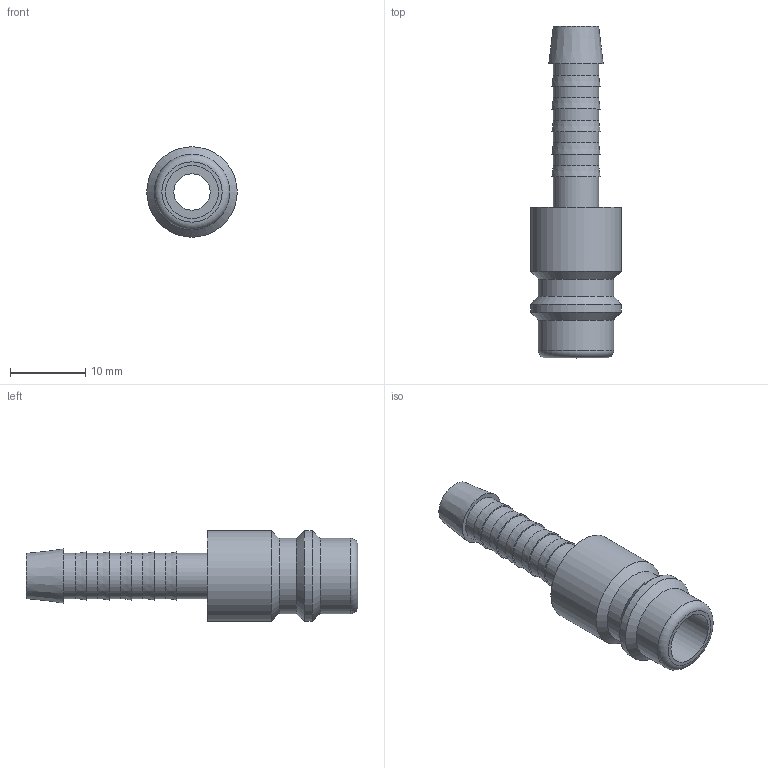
import cadquery as cq


total_length = 44.0
body_end = 20.0
nose_length = 5.0
cone_length = 1.05
collar_land = 1.05
groove_width = 2.3

body_radius = 6.0
nose_radius = 5.0
stem_radius = 3.0
nose_fillet = 1.0

end_barb_length = 5.0
end_barb_radius = 3.6
ridge_count = 5
ridge_pitch = 3.0
ridge_length = 1.5
ridge_radius = 3.2
first_ridge_base = total_length - end_barb_length - ridge_pitch

bore_radius = 2.4
socket_radius = 3.5
socket_depth = 17.0


def revolve_about_y(profile):
    """Turn a closed radius / Y profile one full turn about the Y axis."""
    return profile.close().revolve(360, (0, 0, 0), (0, 1, 0))


def cylinder(radius, start, length):
    """Cylinder along Y from the given start position."""
    return revolve_about_y(
        cq.Workplane("XY")
        .moveTo(0, start)
        .lineTo(radius, start)
        .lineTo(radius, start + length)
        .lineTo(0, start + length)
    )


def barb(base, length, base_radius):
    """Cone with a sharp shoulder at its base, tapering to the stem radius toward +Y."""
    return revolve_about_y(
        cq.Workplane("XY")
        .moveTo(0, base)
        .lineTo(base_radius, base)
        .lineTo(stem_radius, base + length)
        .lineTo(0, base + length)
    )


def plug_body():
    """Plug nose, locking collar, groove and main cylinder."""
    collar_start = nose_length + cone_length
    collar_end = collar_start + collar_land
    groove_start = collar_end + cone_length
    groove_end = groove_start + groove_width
    body = revolve_about_y(
        cq.Workplane("XY")
        .moveTo(0, 0)
        .lineTo(nose_radius, 0)
        .lineTo(nose_radius, nose_length)
        .lineTo(body_radius, collar_start)
        .lineTo(body_radius, collar_end)
        .lineTo(nose_radius, groove_start)
        .lineTo(nose_radius, groove_end)
        .lineTo(body_radius, groove_end + cone_length)
        .lineTo(body_radius, body_end)
        .lineTo(0, body_end)
    )
    return body.faces("<Y").edges().fillet(nose_fillet)


def hose_stem():
    """Stem with evenly spaced ridges and a larger barb at the hose end."""
    stem = cylinder(stem_radius, body_end, total_length - end_barb_length - body_end)
    stem = stem.union(barb(total_length - end_barb_length, end_barb_length, end_barb_radius))
    for index in range(ridge_count):
        ridge_base = first_ridge_base - index * ridge_pitch
        stem = stem.union(barb(ridge_base, ridge_length, ridge_radius))
    return stem


def passage():
    """Through bore with a wider socket at the plug mouth."""
    bore = cylinder(bore_radius, 0, total_length)
    return bore.union(cylinder(socket_radius, 0, socket_depth))


result = plug_body().union(hose_stem()).cut(passage())